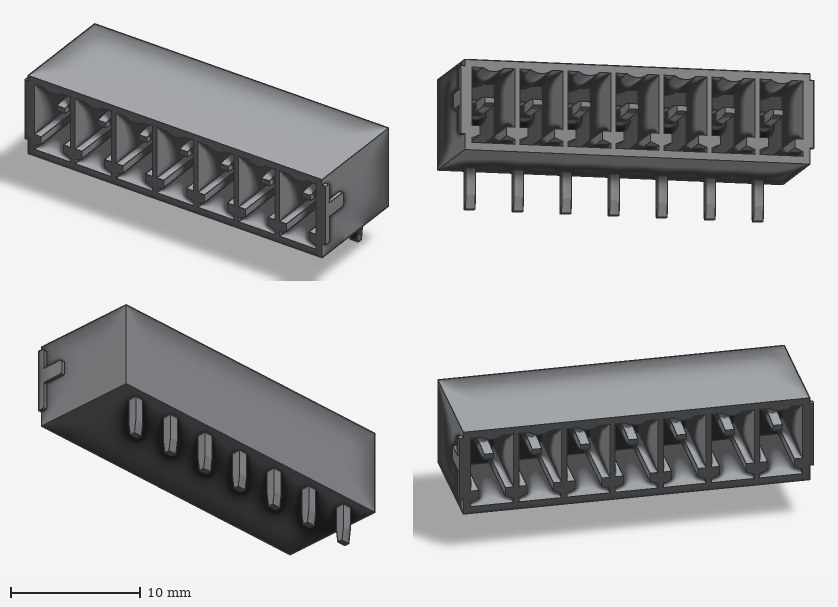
import cadquery as cq
TOTAL_WIDTH = 28.05
TAB_THICKNESS = 0.3
HOUSING_WIDTH = TOTAL_WIDTH - 2 * TAB_THICKNESS
HOUSING_DEPTH = 9.2
HOUSING_HEIGHT = 7.1
WALL = 0.6

POLE_COUNT = 7
PITCH = 3.82
POLE_X = [(i - (POLE_COUNT - 1) / 2) * PITCH for i in range(POLE_COUNT)]

PIN_SIZE = 0.75
PIN_TIP_SIZE = 0.45
PIN_TIP_LENGTH = 1.1
PIN_AXIS_Z = 4.18
PIN_FRONT_Y = 1.18
LEG_LENGTH = 3.2
LEG_TO_BACK = 0.8
LEG_BACK_Y = HOUSING_DEPTH - LEG_TO_BACK
LEG_FRONT_Y = LEG_BACK_Y - PIN_SIZE

CAVITY_WIDTH = 3.4
CAVITY_DEPTH = LEG_FRONT_Y - WALL
CAVITY_TOP_Z = HOUSING_HEIGHT - WALL
BUMP_WIDTH = 1.68
BUMP_DROP = 0.28

RAIL_WIDTH = 0.65
RAIL_TOP_Z = 1.95
RAIL_EDGE_Z = 1.23
RAIL_ROOT_Z = 0.95

BOSS_BASE_RADIUS = 1.12
BOSS_TIP_RADIUS = 0.79
BOSS_LENGTH = 1.12
BOSS_TIP_FILLET = 0.2

TAB_BAR_DEPTH = 0.6
TAB_BOTTOM_Z = 1.25
TAB_TOP_Z = HOUSING_HEIGHT - 0.5
TAB_ARM_DEPTH = 2.53
TAB_ARM_BOTTOM_Z = 3.55
TAB_ARM_HEIGHT = 1.25
TAB_CORNER_RADIUS = 0.22


def make_cavity(x):
    """Pocket volume open to the front, narrowed by the rails and the top bump."""
    half = CAVITY_WIDTH / 2
    rail_half = half - RAIL_WIDTH
    bump_half = BUMP_WIDTH / 2
    return (
        cq.Workplane("XZ")
        .moveTo(x - half, WALL)
        .lineTo(x + half, WALL)
        .lineTo(x + half, RAIL_ROOT_Z)
        .lineTo(x + rail_half, RAIL_EDGE_Z)
        .lineTo(x + rail_half, RAIL_TOP_Z)
        .lineTo(x + half, RAIL_TOP_Z)
        .lineTo(x + half, CAVITY_TOP_Z)
        .lineTo(x + bump_half, CAVITY_TOP_Z)
        .threePointArc((x, CAVITY_TOP_Z - BUMP_DROP), (x - bump_half, CAVITY_TOP_Z))
        .lineTo(x - half, CAVITY_TOP_Z)
        .lineTo(x - half, RAIL_TOP_Z)
        .lineTo(x - rail_half, RAIL_TOP_Z)
        .lineTo(x - rail_half, RAIL_EDGE_Z)
        .lineTo(x - half, RAIL_ROOT_Z)
        .close()
        .extrude(-CAVITY_DEPTH)
    )


def make_boss(x):
    """Cone with a rounded tip, standing on the cavity's back wall around the pin."""
    return (
        cq.Workplane("XZ", origin=(x, CAVITY_DEPTH, PIN_AXIS_Z))
        .circle(BOSS_BASE_RADIUS)
        .workplane(offset=BOSS_LENGTH)
        .circle(BOSS_TIP_RADIUS)
        .loft()
        .faces("<Y")
        .edges()
        .fillet(BOSS_TIP_FILLET)
    )


def make_tab(x_start):
    """T-shaped tab with rounded rear corners, starting at x_start and growing toward +X."""
    bar = (
        cq.Workplane("XY")
        .box(TAB_THICKNESS, TAB_BAR_DEPTH, TAB_TOP_Z - TAB_BOTTOM_Z, centered=False)
        .edges("|X and >Y")
        .fillet(TAB_CORNER_RADIUS)
        .translate((x_start, 0, TAB_BOTTOM_Z))
    )
    arm = (
        cq.Workplane("XY")
        .box(TAB_THICKNESS, TAB_ARM_DEPTH, TAB_ARM_HEIGHT, centered=False)
        .edges("|X and >Y")
        .fillet(TAB_CORNER_RADIUS)
        .translate((x_start, 0, TAB_ARM_BOTTOM_Z))
    )
    return bar.union(arm)


def make_pin(x):
    """L-shaped pin: a bar pointing to the front and a leg pointing down."""
    half = PIN_SIZE / 2
    tip_half = PIN_TIP_SIZE / 2
    leg_y = (LEG_FRONT_Y + LEG_BACK_Y) / 2
    top_z = PIN_AXIS_Z + half
    under_z = PIN_AXIS_Z - half
    bar_taper_y = PIN_FRONT_Y + PIN_TIP_LENGTH
    leg_taper_z = PIN_TIP_LENGTH - LEG_LENGTH
    outline = [
        (PIN_FRONT_Y, PIN_AXIS_Z + tip_half),
        (bar_taper_y, top_z),
        (LEG_BACK_Y, top_z),
        (LEG_BACK_Y, leg_taper_z),
        (leg_y + tip_half, -LEG_LENGTH),
        (leg_y - tip_half, -LEG_LENGTH),
        (LEG_FRONT_Y, leg_taper_z),
        (LEG_FRONT_Y, under_z),
        (bar_taper_y, under_z),
        (PIN_FRONT_Y, PIN_AXIS_Z - tip_half),
    ]
    return cq.Workplane("YZ", origin=(x - half, 0, 0)).polyline(outline).close().extrude(PIN_SIZE)


def make_housing(pins):
    """Block with end tabs, cavities and bosses, with a matching hole for each pin."""
    body = (
        cq.Workplane("XY")
        .box(HOUSING_WIDTH, HOUSING_DEPTH, HOUSING_HEIGHT, centered=(True, False, False))
        .union(make_tab(-TOTAL_WIDTH / 2))
        .union(make_tab(HOUSING_WIDTH / 2))
    )
    for x, pin in zip(POLE_X, pins):
        body = body.cut(make_cavity(x)).union(make_boss(x)).cut(pin)
    return body


contact_pins = [make_pin(x) for x in POLE_X]
housing = make_housing(contact_pins)

result = cq.Compound.makeCompound([housing.val(), *[pin.val() for pin in contact_pins]])